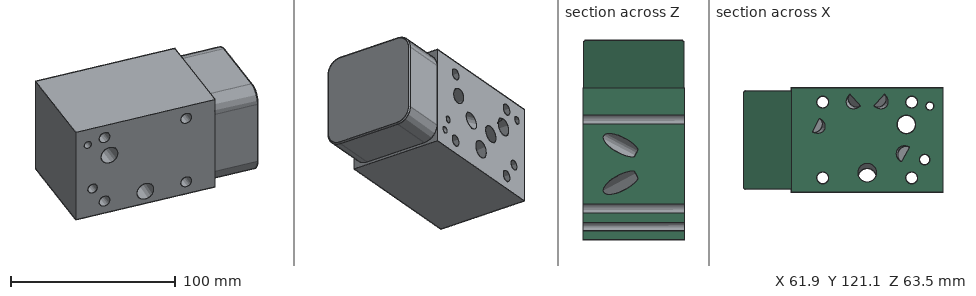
import cadquery as cq
import math

BLOCK_WIDTH = 61.9
BLOCK_LENGTH = 92.2
BLOCK_HEIGHT = 63.5
TOTAL_LENGTH = 121.1

CAP_WIDTH = 61.0
CAP_HEIGHT = 60.0
CAP_CORNER_RADIUS = 9.3
CAP_CHAMFER = 0.8
CAP_LENGTH = TOTAL_LENGTH - BLOCK_LENGTH

PATTERN_Y = 46.0

BOLT_DIAMETER = 7.0
BOLT_SPACING_Y = 54.0
BOLT_SPACING_Z = 46.0
TANK_PORT_DIAMETER = 11.0
PILOT_DIAMETER, PILOT_Y, PILOT_Z = 4.7, 8.0, 20.6
DRAIN_DIAMETER, DRAIN_Y, DRAIN_Z = 6.2, 11.1, -11.9

TANK_OFFSET_Y = 23.7
TANK_Z = 9.5
WORK_OFFSET_Y = 10.3
WORK_Z = -1.6
PRESSURE_Z = -16.7

PRESSURE_DIAMETER, PRESSURE_LEAN = 11.0, 5.7
TANK_DRILL_DIAMETER, TANK_LEAN, TANK_HEADING = 9.3, 35.5, 42.0
WORK_A_DIAMETER, WORK_A_LEAN, WORK_A_HEADING = 9.1, 37.0, 153.0
WORK_B_DIAMETER, WORK_B_LEAN, WORK_B_HEADING = 10.0, 25.5, -29.0
SENSE_DIAMETER, SENSE_LEAN = 4.0, 23.0
UPPER_SENSE_Y, UPPER_SENSE_Z = 80.9, -11.9
LOWER_SENSE_Y, LOWER_SENSE_Z = 84.2, -20.6
DOWN = -90.0
TOWARDS_CAP = 180.0

PORT_DEPTH = BLOCK_WIDTH / 2
SENSE_DEPTH = 12.1
OVERSHOOT = 12.1

FACE_X = -BLOCK_WIDTH / 2


def straight_hole(y, z, diameter):
    """Cutter for a hole right through the block along X."""
    start = cq.Vector(FACE_X - OVERSHOOT, y, z)
    length = BLOCK_WIDTH + 2 * OVERSHOOT
    return cq.Solid.makeCylinder(diameter / 2, length, start, cq.Vector(1, 0, 0))


def leaning_hole(y, z, diameter, lean, heading, depth):
    """Cutter for a drilling that enters the -X face at (y, z) and ends at a depth along X."""
    tilt = math.radians(lean)
    turn = math.radians(heading)
    axis = cq.Vector(
        math.cos(tilt),
        -math.sin(tilt) * math.cos(turn),
        math.sin(tilt) * math.sin(turn),
    )
    start = cq.Vector(FACE_X, y, z) - axis * OVERSHOOT
    length = depth / math.cos(tilt) + OVERSHOOT
    return cq.Solid.makeCylinder(diameter / 2, length, start, axis)


def bolt_holes():
    return [
        straight_hole(PATTERN_Y + side * BOLT_SPACING_Y / 2, level * BOLT_SPACING_Z / 2, BOLT_DIAMETER)
        for side in (-1, 1)
        for level in (-1, 1)
    ]


def tank_ports():
    """A straight port near the -Y end, and mirrored drillings that lean in from both ports."""
    near_y = PATTERN_Y - TANK_OFFSET_Y
    far_y = PATTERN_Y + TANK_OFFSET_Y
    mirrored_heading = 180 - TANK_HEADING
    return [
        straight_hole(near_y, TANK_Z, TANK_PORT_DIAMETER),
        leaning_hole(near_y, TANK_Z, TANK_DRILL_DIAMETER, TANK_LEAN, mirrored_heading, PORT_DEPTH),
        leaning_hole(far_y, TANK_Z, TANK_DRILL_DIAMETER, TANK_LEAN, TANK_HEADING, PORT_DEPTH),
    ]


def work_and_pressure_ports():
    port_a_y = PATTERN_Y + WORK_OFFSET_Y
    port_b_y = PATTERN_Y - WORK_OFFSET_Y
    through = BLOCK_WIDTH + OVERSHOOT
    return [
        leaning_hole(port_a_y, WORK_Z, WORK_A_DIAMETER, WORK_A_LEAN, WORK_A_HEADING, PORT_DEPTH),
        leaning_hole(port_b_y, WORK_Z, WORK_B_DIAMETER, WORK_B_LEAN, WORK_B_HEADING, PORT_DEPTH),
        leaning_hole(PATTERN_Y, PRESSURE_Z, PRESSURE_DIAMETER, PRESSURE_LEAN, DOWN, through),
    ]


def small_holes():
    """Pilot and drain holes right through, and two blind sense drillings near the cap."""
    return [
        straight_hole(PILOT_Y, PILOT_Z, PILOT_DIAMETER),
        straight_hole(DRAIN_Y, DRAIN_Z, DRAIN_DIAMETER),
        leaning_hole(UPPER_SENSE_Y, UPPER_SENSE_Z, SENSE_DIAMETER, SENSE_LEAN, DOWN, SENSE_DEPTH),
        leaning_hole(LOWER_SENSE_Y, LOWER_SENSE_Z, SENSE_DIAMETER, SENSE_LEAN, TOWARDS_CAP, SENSE_DEPTH),
    ]


def make_block():
    block = cq.Workplane("XY").box(BLOCK_WIDTH, BLOCK_LENGTH, BLOCK_HEIGHT, centered=(True, False, True))
    for cutter in bolt_holes() + tank_ports() + work_and_pressure_ports() + small_holes():
        block = block.cut(cq.Workplane(cutter))
    return block


def make_cap():
    cap = cq.Workplane("XY").box(CAP_WIDTH, CAP_LENGTH, CAP_HEIGHT, centered=(True, False, True))
    cap = cap.edges("|Y").fillet(CAP_CORNER_RADIUS)
    cap = cap.faces(">Y").edges().chamfer(CAP_CHAMFER)
    return cap.translate((0, BLOCK_LENGTH, 0))


block = make_block()
cap = make_cap()
result = cq.Compound.makeCompound([block.val(), cap.val()])